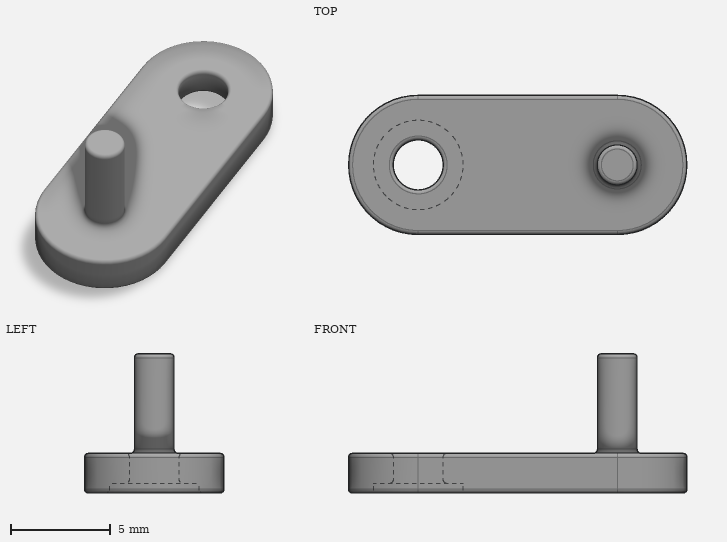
import cadquery as cq

length = 17.0
width = 7.0
plate_thickness = 2.0
total_height = 7.0
hole_diameter = 2.5
recess_diameter = 4.5
recess_depth = 0.5
pin_diameter = 2.0
edge_radius = 0.2

end_offset = (length - width) / 2


def make_plate():
    """Round-ended plate with a hole recessed from below, all outer edges and hole lips rounded."""
    plate = cq.Workplane("XY").slot2D(length, width).extrude(plate_thickness)
    hole = (
        cq.Workplane("XY")
        .center(-end_offset, 0)
        .circle(hole_diameter / 2)
        .extrude(plate_thickness)
    )
    recess = (
        cq.Workplane("XY")
        .center(-end_offset, 0)
        .circle(recess_diameter / 2)
        .extrude(recess_depth)
    )
    plate = plate.cut(hole).cut(recess)
    plate = plate.edges(cq.selectors.RadiusNthSelector(0)).fillet(edge_radius)
    plate = plate.faces("<Z").edges().fillet(edge_radius)
    return plate.edges("|X and >Z").fillet(edge_radius)


def make_pin():
    """Upright pin with a rounded tip and a concave fillet at its foot."""
    radius = pin_diameter / 2
    foot_radius = radius + edge_radius
    tip_radius = radius - edge_radius
    foot_center = (foot_radius, plate_thickness + edge_radius)
    tip_center = (tip_radius, total_height - edge_radius)
    diagonal = edge_radius / 2**0.5
    profile = (
        cq.Workplane("XZ")
        .lineTo(foot_radius, 0)
        .lineTo(foot_radius, plate_thickness)
        .threePointArc(
            (foot_center[0] - diagonal, foot_center[1] - diagonal),
            (radius, foot_center[1]),
        )
        .lineTo(radius, tip_center[1])
        .threePointArc(
            (tip_center[0] + diagonal, tip_center[1] + diagonal),
            (tip_radius, total_height),
        )
        .lineTo(0, total_height)
        .close()
    )
    return profile.revolve(360, (0, 0), (0, 1)).translate((end_offset, 0, 0))


result = make_plate().union(make_pin())